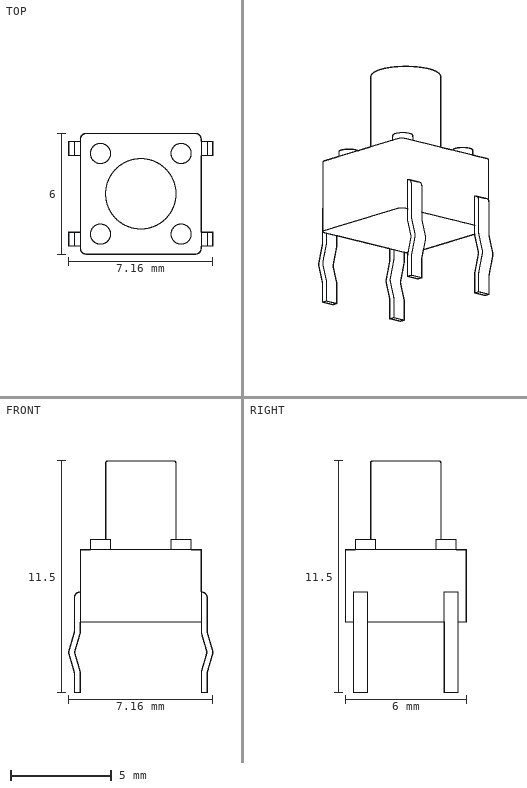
import cadquery as cq
import math

total_height = 11.5

housing_side = 6.0
housing_height = 3.6
housing_corner_radius = 0.3
top_layer_thickness = 0.1

button_diameter = 3.5
button_edge_radius = 0.1

peg_diameter = 1.0
peg_height = 0.51
peg_spacing = 4.0

pin_length = 5.0
pin_drop = 3.5
pin_width = 0.7
pin_thickness = 0.3
pin_spacing = 4.5
kink_pitch = 1.0
kink_angle = math.radians(16.3)
kink_bend_radius = 0.28

button_height = total_height - pin_drop - housing_height


def make_housing_layer(bottom_z, thickness):
    """Rounded square slab with the housing outline."""
    slab = cq.Workplane("XY", origin=(0, 0, bottom_z)).rect(housing_side, housing_side).extrude(thickness)
    return slab.edges("|Z").fillet(housing_corner_radius)


def make_housing():
    """One solid; the union is left uncleaned to keep the line around the top layer."""
    lower_height = housing_height - top_layer_thickness
    lower_layer = make_housing_layer(0, lower_height)
    top_layer = make_housing_layer(lower_height, top_layer_thickness)
    return lower_layer.union(top_layer, clean=False)


def make_post(x, y, diameter, height):
    """Cylinder standing on the housing top."""
    return cq.Workplane("XY", origin=(x, y, housing_height)).circle(diameter / 2).extrude(height)


def make_button():
    stem = make_post(0, 0, button_diameter, button_height)
    return stem.faces(">Z").edges().fillet(button_edge_radius)


def make_peg(x, y):
    return make_post(x, y, peg_diameter, peg_height)


def make_pin(x_side, y):
    """Pin on the +X wall (x_side = 1) or the -X wall (x_side = -1), centred on y."""
    inner_x = housing_side / 2
    outer_x = inner_x + pin_thickness
    tip_z = -pin_drop
    kink_low_z = tip_z + kink_pitch
    kink_mid_z = kink_low_z + kink_pitch
    kink_high_z = kink_mid_z + kink_pitch
    top_z = tip_z + pin_length

    bend_shift = pin_thickness * math.tan(kink_angle / 2)
    outer_jog = kink_pitch * math.tan(kink_angle)
    inner_jog = (kink_pitch - bend_shift) * math.tan(kink_angle)

    strip = (
        cq.Workplane("XZ", origin=(0, y + pin_width / 2, 0))
        .moveTo(inner_x, tip_z)
        .lineTo(outer_x, tip_z)
        .lineTo(outer_x, kink_low_z)
        .lineTo(outer_x + outer_jog, kink_mid_z)
        .lineTo(outer_x, kink_high_z)
        .lineTo(outer_x, top_z - pin_thickness)
        .tangentArcPoint((inner_x, top_z), relative=False)
        .lineTo(inner_x, kink_high_z - bend_shift)
        .lineTo(inner_x + inner_jog, kink_mid_z)
        .lineTo(inner_x, kink_low_z + bend_shift)
        .close()
        .extrude(pin_width)
    )

    margin = kink_pitch / 2
    kink_zone = cq.selectors.BoxSelector(
        (inner_x - margin, y - pin_width, kink_low_z - margin),
        (outer_x + margin, y + pin_width, kink_high_z + margin),
    )
    strip = strip.edges("|Y").edges(kink_zone).fillet(kink_bend_radius)
    return strip if x_side > 0 else strip.mirror("YZ")


housing = make_housing()
button = make_button()

pegs = []
pins = []
for x_side in (-1, 1):
    for y_side in (-1, 1):
        peg = make_peg(x_side * peg_spacing / 2, y_side * peg_spacing / 2)
        pin = make_pin(x_side, y_side * pin_spacing / 2)
        pegs.append(peg.val())
        pins.append(pin.val())

result = cq.Compound.makeCompound([housing.val(), button.val(), *pegs, *pins])